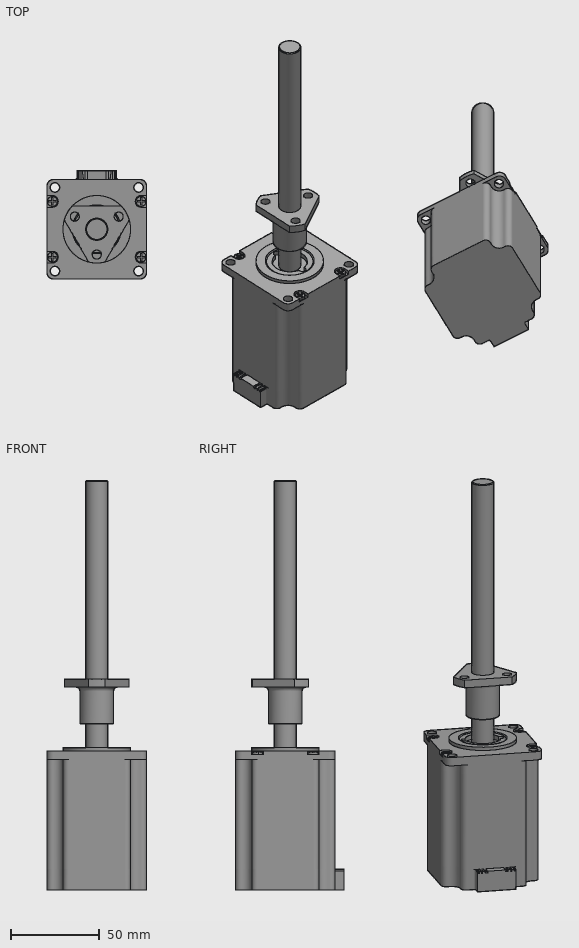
import cadquery as cq
import math

frame_size = 56.2
frame_half = frame_size / 2
flange_top = 78.5
flange_thickness = 4.9
front_cap_bottom = 68.0
rear_cap_top = 11.8
flange_corner_radius = 3.7
mount_hole_offset = 47.14 / 2
mount_hole_diameter = 5.2

groove_offset = 23.9
groove_radius = 5.0
ear_radius = 3.0

pilot_diameter = 38.1
pilot_top = 80.4
retainer_rim_radius = 13.8
retainer_radius = 13.1
retainer_depth = 0.5
bearing_bore_radius = 9.9
recess_floor = 77.2
spanner_slot_reach = 12.4
spanner_slot_width = 4.0

screw_offset_x = 25.0
screw_offset_y = 15.7
notch_radius = 3.3
notch_depth = 2.1
screw_head_radius = 2.8
screw_head_height = 1.4
cross_length = 4.2
cross_width = 0.9
cross_depth = 0.8

connector_width = 22.2
connector_end = 33.1
connector_root_fillet = 1.0
key_groove_offset = 5.9
key_groove_width = 1.4
edge_groove_offset = 10.4
edge_groove_width = 0.6
taper_groove_offset = 8.5
taper_groove_tip_width = 0.6
taper_groove_root_width = 1.3
connector_groove_depth = 1.0

shaft_diameter = 12.5
shaft_top = 230.9
shaft_chamfer = 0.5

nut_bottom = 93.6
nut_flange_bottom = 114.4
nut_flange_top = 118.9
nut_body_diameter = 19.05
nut_flange_diameter = 38.1
nut_flange_flat_distance = 13.2
nut_neck_fillet = 2.3
nut_end_chamfer = 0.4
nut_hole_circle_radius = 14.29
nut_hole_diameter = 5.1


def cylinder(radius, bottom, top):
    return cq.Workplane("XY").workplane(offset=bottom).circle(radius).extrude(top - bottom)


def frame_section(bottom, top):
    """Square with a round groove and two rounded ears at each corner."""
    ear_centre = frame_half - ear_radius
    groove_side = groove_offset - groove_radius
    ear_start = groove_side - ear_radius
    ear_mid = ear_radius * math.sqrt(0.5)
    groove_mid = groove_offset - groove_radius * math.sqrt(0.5)
    outline = cq.Workplane("XY").workplane(offset=bottom).moveTo(frame_half, -ear_start)

    def along(quarter, x, y):
        """The point (x, y) of the first corner, carried round by quarter turns."""
        for _ in range(quarter):
            x, y = -y, x
        return x, y

    for quarter in range(4):
        outline = (
            outline.lineTo(*along(quarter, frame_half, ear_start))
            .threePointArc(
                along(quarter, ear_centre + ear_mid, ear_start + ear_mid),
                along(quarter, ear_centre, groove_side),
            )
            .lineTo(*along(quarter, groove_offset, groove_side))
            .threePointArc(
                along(quarter, groove_mid, groove_mid),
                along(quarter, groove_side, groove_offset),
            )
            .lineTo(*along(quarter, groove_side, ear_centre))
            .threePointArc(
                along(quarter, ear_start + ear_mid, ear_centre + ear_mid),
                along(quarter, ear_start, frame_half),
            )
        )
    return outline.close().extrude(top - bottom)


def mounting_flange():
    bottom = flange_top - flange_thickness
    return (
        cq.Workplane("XY")
        .workplane(offset=bottom)
        .rect(frame_size, frame_size)
        .extrude(flange_thickness)
        .edges("|Z")
        .fillet(flange_corner_radius)
        .faces(">Z")
        .workplane()
        .rect(2 * mount_hole_offset, 2 * mount_hole_offset, forConstruction=True)
        .vertices()
        .hole(mount_hole_diameter)
    )


def bearing_recess():
    slots = (
        cq.Workplane("XY")
        .workplane(offset=recess_floor)
        .slot2D(2 * spanner_slot_reach, spanner_slot_width)
        .extrude(pilot_top - recess_floor)
    )
    step = (
        cq.Workplane("XY")
        .workplane(offset=pilot_top - retainer_depth)
        .circle(retainer_radius)
        .workplane(offset=retainer_depth)
        .circle(retainer_rim_radius)
        .loft()
    )
    return cylinder(bearing_bore_radius, recess_floor, pilot_top).union(step).union(slots)


def screw_notch(side_x, side_y):
    """U-shaped notch, open to the side of the flange."""
    centre = (side_x * screw_offset_x, side_y * screw_offset_y)
    bottom = cq.Workplane("XY").workplane(offset=flange_top - notch_depth)
    pocket = bottom.center(*centre).circle(notch_radius).extrude(notch_depth)
    mouth = (
        bottom.center(side_x * (screw_offset_x + notch_radius), centre[1])
        .rect(2 * notch_radius, 2 * notch_radius)
        .extrude(notch_depth)
    )
    return pocket.union(mouth)


def connector():
    length = connector_end - frame_half
    block = (
        cq.Workplane("XY")
        .center(0, frame_half + length / 2)
        .rect(connector_width, length)
        .extrude(rear_cap_top)
    )
    groove_plane = cq.Workplane("XY").workplane(offset=rear_cap_top - connector_groove_depth)
    straight_grooves = (
        (key_groove_offset, key_groove_width),
        (edge_groove_offset, edge_groove_width),
    )
    for side in (-1, 1):
        for offset, width in straight_grooves:
            groove = (
                groove_plane.center(side * offset, frame_half + length / 2)
                .rect(width, length)
                .extrude(connector_groove_depth)
            )
            block = block.cut(groove)
        taper_outer = side * (taper_groove_offset + taper_groove_tip_width / 2)
        taper_groove = (
            groove_plane.moveTo(taper_outer, frame_half)
            .lineTo(taper_outer, connector_end)
            .lineTo(taper_outer - side * taper_groove_tip_width, connector_end)
            .lineTo(taper_outer - side * taper_groove_root_width, frame_half)
            .close()
            .extrude(connector_groove_depth)
        )
        block = block.cut(taper_groove)
        flare_x = side * connector_width / 2
        flare = (
            cq.Workplane("XY")
            .moveTo(flare_x, frame_half)
            .lineTo(flare_x + side * connector_root_fillet, frame_half)
            .radiusArc((flare_x, frame_half + connector_root_fillet), side * connector_root_fillet)
            .close()
            .extrude(rear_cap_top)
        )
        block = block.union(flare)
    return block


sides = [(side_x, side_y) for side_x in (-1, 1) for side_y in (-1, 1)]


def build_motor():
    front_cap = frame_section(front_cap_bottom, flange_top - flange_thickness).union(mounting_flange())
    rear_cap = frame_section(0, rear_cap_top).union(connector())
    body = (
        front_cap.union(cylinder(pilot_diameter / 2, flange_top, pilot_top))
        .union(frame_section(rear_cap_top, front_cap_bottom), clean=False)
        .union(rear_cap, clean=False)
        .cut(bearing_recess(), clean=False)
    )
    for side_x, side_y in sides:
        body = body.cut(screw_notch(side_x, side_y), clean=False)
    return body


def build_cap_screw(side_x, side_y):
    seat = flange_top - notch_depth
    top = seat + screw_head_height
    centre = (side_x * screw_offset_x, side_y * screw_offset_y)
    head = cylinder(screw_head_radius, seat, top).translate((*centre, 0))
    cross_plane = cq.Workplane("XY").workplane(offset=top - cross_depth).center(*centre)
    for length_x, length_y in ((cross_length, cross_width), (cross_width, cross_length)):
        head = head.cut(cross_plane.rect(length_x, length_y).extrude(cross_depth))
    return head


def build_lead_screw():
    shaft = cylinder(shaft_diameter / 2, recess_floor, shaft_top)
    return shaft.faces(">Z").chamfer(shaft_chamfer)


def build_nut():
    flange_height = nut_flange_top - nut_flange_bottom
    triangle = (
        cq.Workplane("XY")
        .workplane(offset=nut_flange_bottom)
        .transformed(rotate=(0, 0, -90))
        .polygon(3, 4 * nut_flange_flat_distance)
        .extrude(flange_height)
    )
    flange = cylinder(nut_flange_diameter / 2, nut_flange_bottom, nut_flange_top).intersect(triangle)
    flange = (
        flange.faces(">Z")
        .workplane(origin=(0, 0, nut_flange_top))
        .polarArray(nut_hole_circle_radius, -90, 360, 3)
        .hole(nut_hole_diameter)
    )
    body_radius = nut_body_diameter / 2
    barrel = cylinder(body_radius, nut_bottom, nut_flange_bottom).faces("<Z").chamfer(nut_end_chamfer)
    neck = (
        cq.Workplane("XZ")
        .moveTo(0, nut_flange_bottom)
        .lineTo(body_radius + nut_neck_fillet, nut_flange_bottom)
        .radiusArc((body_radius, nut_flange_bottom - nut_neck_fillet), -nut_neck_fillet)
        .lineTo(0, nut_flange_bottom - nut_neck_fillet)
        .close()
        .revolve(360, (0, 0), (0, 1))
    )
    bore = cylinder(shaft_diameter / 2, nut_bottom, nut_flange_top)
    return barrel.union(neck).union(flange).cut(bore)


motor = build_motor()
cap_screws = [build_cap_screw(side_x, side_y) for side_x, side_y in sides]
lead_screw = build_lead_screw()
nut = build_nut()

result = cq.Compound.makeCompound(
    [motor.val(), *[screw.val() for screw in cap_screws], lead_screw.val(), nut.val()]
)